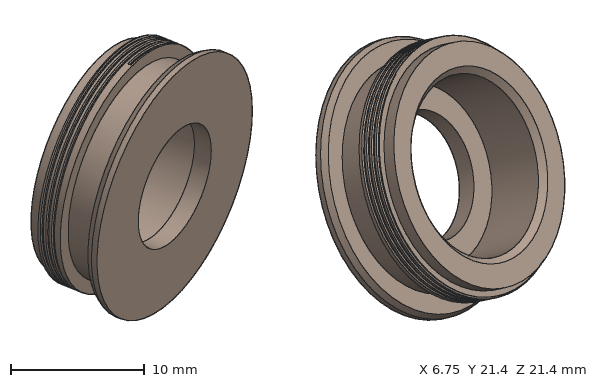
import cadquery as cq
import math

length = 6.75
spigot_end = 1.0
band_end = 3.0
flange_start = 5.75
flange_rim_start = 6.25
bore_depth = 5.25

flange_radius = 10.7
spigot_radius = 9.38
band_radius = 9.98
neck_radius = 8.9
flange_bevel_angle = 30.0
bevel_drop = (flange_rim_start - flange_start) * math.tan(math.radians(flange_bevel_angle))

bore_radius = 7.0
bore_chamfer = 0.5
through_hole_radius = 5.03

turns = 4
pitch = (band_end - spigot_end) / turns
groove_end = 2.72
groove_start = groove_end - turns * pitch
groove_depth = 0.13
groove_floor_width = 0.1
groove_flank_angle = 30.0
cutter_overlap = 0.06


def make_body():
    """Revolve the stepped half section around the X axis."""
    return (
        cq.Workplane("XY")
        .moveTo(0, bore_radius + bore_chamfer)
        .lineTo(0, spigot_radius)
        .lineTo(spigot_end, spigot_radius)
        .lineTo(spigot_end, band_radius)
        .lineTo(band_end, band_radius)
        .lineTo(band_end, neck_radius)
        .lineTo(flange_start, neck_radius)
        .lineTo(flange_start, flange_radius - bevel_drop)
        .lineTo(flange_rim_start, flange_radius)
        .lineTo(length, flange_radius)
        .lineTo(length, through_hole_radius)
        .lineTo(bore_depth, through_hole_radius)
        .lineTo(bore_depth, bore_radius)
        .lineTo(bore_chamfer, bore_radius)
        .close()
        .revolve(360, (0, 0, 0), (1, 0, 0))
    )


def make_thread_cutter():
    """Sweep the trapezoidal groove section along a helix, then lay it along X."""
    floor_radius = band_radius - groove_depth
    outer_radius = band_radius + cutter_overlap
    floor_half = groove_floor_width / 2
    flank_run = (outer_radius - floor_radius) * math.tan(math.radians(groove_flank_angle))
    outer_half = floor_half + flank_run
    helix = cq.Wire.makeHelix(pitch, turns * pitch, band_radius)
    cutter = (
        cq.Workplane("XZ")
        .polyline([
            (floor_radius, -floor_half),
            (outer_radius, -outer_half),
            (outer_radius, outer_half),
            (floor_radius, floor_half),
        ])
        .close()
        .sweep(cq.Workplane(helix), isFrenet=True)
    )
    return (
        cutter
        .rotate((0, 0, 0), (0, 0, 1), 180)
        .rotate((0, 0, 0), (0, 1, 0), 90)
        .translate((groove_start, 0, 0))
    )


result = make_body().cut(make_thread_cutter())